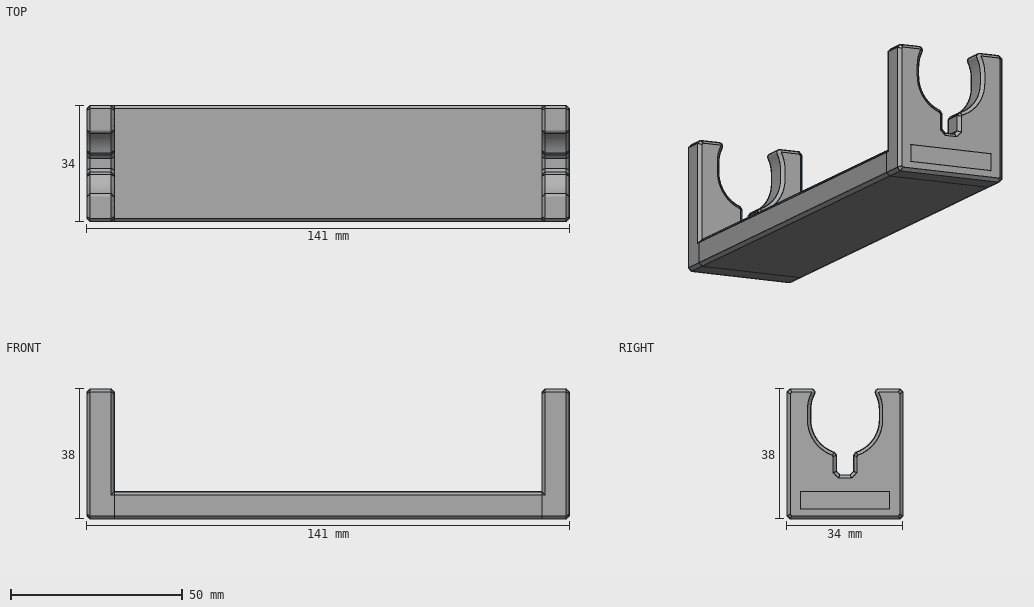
import cadquery as cq
import math

length = 141.0
width = 34.0
height = 38.0
edge_chamfer = 1.0

bracket_thickness = 8.0
plate_height = 8.0
tenon_width = 26.0
tenon_height = 5.1

bore_radius = 10.0
lower_center_z = 29.0
upper_center_z = 32.0
slot_width = 5.0
slot_floor_z = 13.0
slot_floor_chamfer = 1.0
neck_chamfer = 0.7
tip_fillet = 1.06

half_length = length / 2
inner_face_x = half_length - bracket_thickness


def plate_section(x_start, x_end):
    """Floor bar between two X positions, with its four long edges chamfered."""
    bar = cq.Workplane("XY").box(x_end - x_start, width, plate_height, centered=False)
    return bar.edges("|X").chamfer(edge_chamfer).translate((x_start, -width / 2, 0))


def tenon(x_start, x_end):
    """Rectangular bar whose top is flush with the top of the floor plate."""
    bar = cq.Workplane("XY").box(x_end - x_start, tenon_width, tenon_height, centered=False)
    return bar.translate((x_start, -tenon_width / 2, plate_height - tenon_height))


def upright_blank():
    """Right-hand upright with the clip opening cut through it, edges still sharp."""
    half_slot = slot_width / 2
    neck_z = lower_center_z - math.sqrt(bore_radius**2 - half_slot**2)
    tip_y = math.sqrt(bore_radius**2 - (height - upper_center_z) ** 2)

    lower_angle = -math.acos(half_slot / bore_radius) / 2
    upper_angle = math.acos(tip_y / bore_radius) / 2
    lower_mid_y = bore_radius * math.cos(lower_angle)
    lower_mid_z = lower_center_z + bore_radius * math.sin(lower_angle)
    upper_mid_y = bore_radius * math.cos(upper_angle)
    upper_mid_z = upper_center_z + bore_radius * math.sin(upper_angle)

    return (
        cq.Workplane("YZ", origin=(inner_face_x, 0, 0))
        .moveTo(-width / 2, 0)
        .lineTo(width / 2, 0)
        .lineTo(width / 2, height)
        .lineTo(tip_y, height)
        .threePointArc((upper_mid_y, upper_mid_z), (bore_radius, upper_center_z))
        .lineTo(bore_radius, lower_center_z)
        .threePointArc((lower_mid_y, lower_mid_z), (half_slot, neck_z))
        .lineTo(half_slot, slot_floor_z)
        .lineTo(-half_slot, slot_floor_z)
        .lineTo(-half_slot, neck_z)
        .threePointArc((-lower_mid_y, lower_mid_z), (-bore_radius, lower_center_z))
        .lineTo(-bore_radius, upper_center_z)
        .threePointArc((-upper_mid_y, upper_mid_z), (-tip_y, height))
        .lineTo(-width / 2, height)
        .close()
        .extrude(bracket_thickness)
    )


def edges_along_x(body, half_band, z_low, z_high):
    """Edges of an upright along X, within a centred Y band and a Z range."""
    band = cq.selectors.BoxSelector((inner_face_x, -half_band, z_low), (half_length, half_band, z_high))
    return body.edges("|X").edges(band)


def upright():
    """Right-hand upright with its opening corners eased and all outer edges chamfered."""
    slot_mid_z = slot_floor_z + slot_width / 2
    body = upright_blank()
    body = edges_along_x(body, slot_width, plate_height, slot_mid_z).chamfer(slot_floor_chamfer)
    body = edges_along_x(body, slot_width, slot_mid_z, lower_center_z).chamfer(neck_chamfer)
    body = edges_along_x(body, bore_radius, height - edge_chamfer, height + edge_chamfer).fillet(tip_fillet)
    body = body.edges("|X").edges("<Y or >Y").chamfer(edge_chamfer)
    return body.faces("<X or >X").edges().chamfer(edge_chamfer)


def right_bracket():
    """Upright whose foot fills out to the floor plate section, pierced for the tenon."""
    foot = plate_section(inner_face_x, half_length - bracket_thickness / 2)
    return upright().union(foot).cut(tenon(inner_face_x, half_length))


def floor_plate():
    """Floor between the brackets with a tenon passing through each of them."""
    return plate_section(-inner_face_x, inner_face_x).union(tenon(-half_length, half_length))


def end_brackets():
    """The same bracket at both ends, turned half a revolution about Z for the left one."""
    return [right_bracket().rotate((0, 0, 0), (0, 0, 1), angle) for angle in (0, 180)]


plate = floor_plate()
brackets = end_brackets()

result = cq.Compound.makeCompound([plate.val(), *[body.val() for body in brackets]])